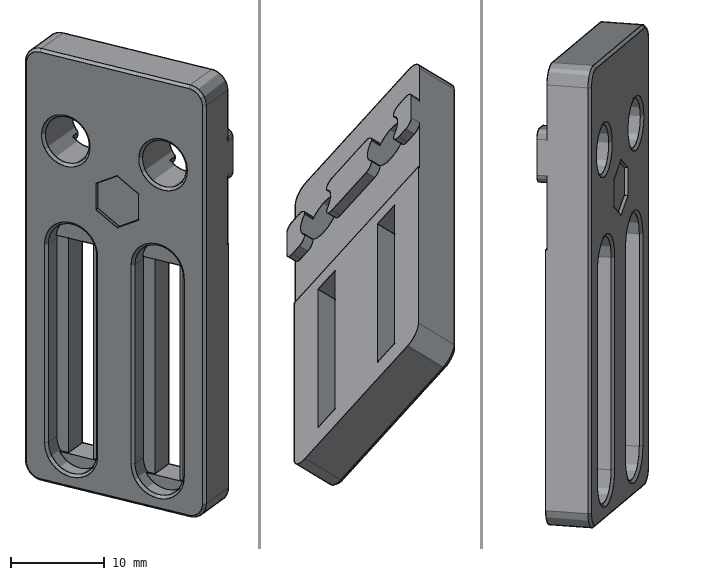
import cadquery as cq

WIDTH = 22.25
DEPTH = 6.0
HEIGHT = 50.7
CORNER_RADIUS = 2.0
EDGE_CHAMFER = 0.3
CHAMFER_ANGLE = 45
QUARTER_TURN = 90

FRONT_Y = -DEPTH / 2
TAB_Y = DEPTH / 2
TOP_Z = HEIGHT / 2

TAB_RISE = 0.95
REAR_Y = TAB_Y - TAB_RISE
RELIEF_DEPTH = 0.15
RELIEF_BOTTOM_Z = 5.3

HOLE_DIAMETER = 5.4
HOLE_X = 6.0
HOLE_Z = 15.35

TAB_HEIGHT = 5.9
TAB_GAP = 3.9
TAB_RADIUS = 0.95

SLOT_X = 5.35
POCKET_WIDTH = 5.95
POCKET_LENGTH = 29.25
POCKET_Z = -9.05
POCKET_DEPTH = 1.9
BRIDGE_STEP = 0.2
SLOT_WIDTH = 3.05
SLOT_LENGTH = 25.3
SLOT_Z = -9.65

HEX_SIDES = 6
HEX_CORNERS = 6.1
HEX_X = 0.35
HEX_Z = 9.7
HEX_DEPTH = 0.4


def front_plane(y):
    """Sketch plane at depth y, +X right and +Z up; a positive extrude goes toward -Y."""
    return cq.Workplane("XZ", origin=(0, y, 0))


def make_body():
    """Rounded plate, chamfered around the front, with the upper rear face relieved."""
    thickness = REAR_Y - FRONT_Y
    body = (
        front_plane(REAR_Y)
        .rect(WIDTH, HEIGHT)
        .extrude(thickness)
        .edges("|Y")
        .fillet(CORNER_RADIUS)
        .faces("<Y")
        .chamfer(EDGE_CHAMFER)
    )
    relief_height = TOP_Z - RELIEF_BOTTOM_Z
    relief = (
        front_plane(REAR_Y)
        .center(0, RELIEF_BOTTOM_Z + relief_height / 2)
        .rect(WIDTH, relief_height)
        .extrude(RELIEF_DEPTH)
    )
    return body.cut(relief)


def make_tabs():
    """One middle tab between the holes and one outer tab flush with each side."""
    tab_rise = TAB_RISE + RELIEF_DEPTH
    middle_width = 2 * HOLE_X - TAB_GAP
    outer_width = WIDTH / 2 - HOLE_X - TAB_GAP / 2
    outer_x = (WIDTH - outer_width) / 2
    tabs = cq.Workplane("XZ")
    for x, width in ((-outer_x, outer_width), (0, middle_width), (outer_x, outer_width)):
        tab = (
            front_plane(TAB_Y)
            .center(x, HOLE_Z)
            .rect(width, TAB_HEIGHT)
            .extrude(tab_rise)
            .edges("|Y")
            .fillet(TAB_RADIUS)
        )
        tabs = tabs.add(tab)
    return tabs.combine()


def make_hole(x):
    """Through hole with a chamfered mouth on the front face."""
    hole = front_plane(TAB_Y).center(x, HOLE_Z).circle(HOLE_DIAMETER / 2).extrude(DEPTH)
    mouth = (
        front_plane(FRONT_Y)
        .center(x, HOLE_Z)
        .circle(HOLE_DIAMETER / 2 + EDGE_CHAMFER)
        .extrude(-EDGE_CHAMFER, taper=CHAMFER_ANGLE)
    )
    return hole.union(mouth)


def rounded_pocket(x, depth, margin=0.0, taper=0.0):
    """Upright round-ended pocket sunk from the front face, widened all round by margin."""
    return (
        front_plane(FRONT_Y)
        .center(x, POCKET_Z)
        .slot2D(POCKET_LENGTH + 2 * margin, POCKET_WIDTH + 2 * margin, QUARTER_TURN)
        .extrude(-depth, taper=taper)
    )


def make_slot(x):
    """Stepped slot with a chamfered mouth on the front face."""
    bridge_depth = POCKET_DEPTH + BRIDGE_STEP
    pocket = rounded_pocket(x, POCKET_DEPTH)
    mouth = rounded_pocket(x, EDGE_CHAMFER, EDGE_CHAMFER, CHAMFER_ANGLE)
    bridge = (
        front_plane(FRONT_Y)
        .center(x, SLOT_Z)
        .rect(POCKET_WIDTH, SLOT_LENGTH)
        .extrude(-bridge_depth)
        .intersect(rounded_pocket(x, bridge_depth))
    )
    through = front_plane(TAB_Y).center(x, SLOT_Z).rect(SLOT_WIDTH, SLOT_LENGTH).extrude(DEPTH)
    return pocket.union(mouth).union(bridge).union(through)


def make_hex_recess():
    """Shallow hexagonal recess in the front face."""
    return (
        front_plane(FRONT_Y)
        .center(HEX_X, HEX_Z)
        .transformed(rotate=(0, 0, QUARTER_TURN))
        .polygon(HEX_SIDES, HEX_CORNERS)
        .extrude(-HEX_DEPTH)
    )


result = make_body().union(make_tabs())
for side in (-1, 1):
    result = result.cut(make_hole(side * HOLE_X))
    result = result.cut(make_slot(side * SLOT_X))
result = result.cut(make_hex_recess())